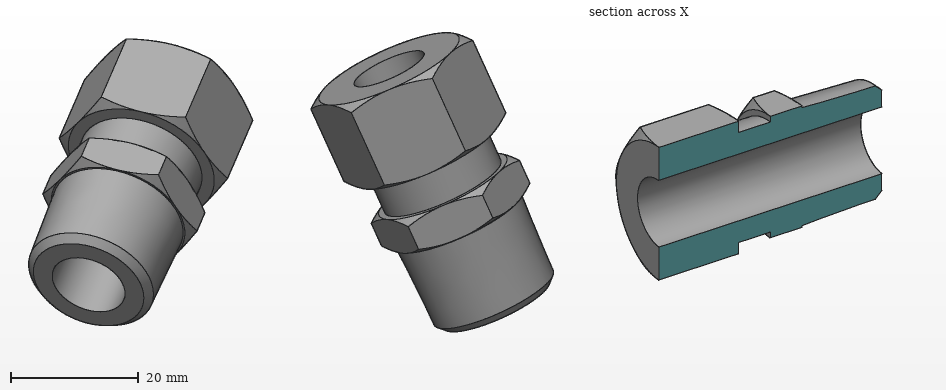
import cadquery as cq
import math

total_length = 41.9
nut_length = 15.0
nut_flats = 24.0
hex_length = 6.0
hex_flats = 22.0
neck_diameter = 20.0
bore_diameter = 12.0
thread_length = 15.0
gauge_diameter = 20.95
taper = 1 / 16
tip_length = 1.2
tip_diameter = 18.2
corner_chamfer_angle = 30

hex_end = thread_length + hex_length
nut_start = total_length - nut_length


def revolve_profile(points):
    """Revolve (radius, y) points about the Y axis."""
    return cq.Workplane("XY").polyline(points).close().revolve(360, (0, 0, 0), (0, 1, 0))


def cylinder(diameter, start, end):
    radius = diameter / 2
    return revolve_profile([(0, start), (radius, start), (radius, end), (0, end)])


def chamfered_hexagon(flats, start, end):
    """Hexagonal prism with corners on the X axis and conically turned ends."""
    corner_diameter = flats / math.cos(math.pi / 6)
    prism = (
        cq.Workplane("XZ", origin=(0, start, 0))
        .polygon(6, corner_diameter)
        .extrude(start - end)
    )
    flat_radius = flats / 2
    corner_radius = corner_diameter / 2
    drop = (corner_radius - flat_radius) * math.tan(math.radians(corner_chamfer_angle))
    envelope = revolve_profile([
        (0, start),
        (flat_radius, start),
        (corner_radius, start + drop),
        (corner_radius, end - drop),
        (flat_radius, end),
        (0, end),
    ])
    return prism.intersect(envelope)


def tapered_end():
    """Conical thread blank with a lead-in chamfer."""
    gauge_y = thread_length / 2
    gauge_radius = gauge_diameter / 2
    small_radius = gauge_radius - (gauge_y - tip_length) * taper / 2
    large_radius = gauge_radius + (thread_length - gauge_y) * taper / 2
    return revolve_profile([
        (0, 0),
        (tip_diameter / 2, 0),
        (small_radius, tip_length),
        (large_radius, thread_length),
        (0, thread_length),
    ])


body = (
    tapered_end()
    .union(chamfered_hexagon(hex_flats, thread_length, hex_end))
    .union(cylinder(neck_diameter, hex_end, nut_start))
    .union(chamfered_hexagon(nut_flats, nut_start, total_length))
)
result = body.cut(cylinder(bore_diameter, 0, total_length))